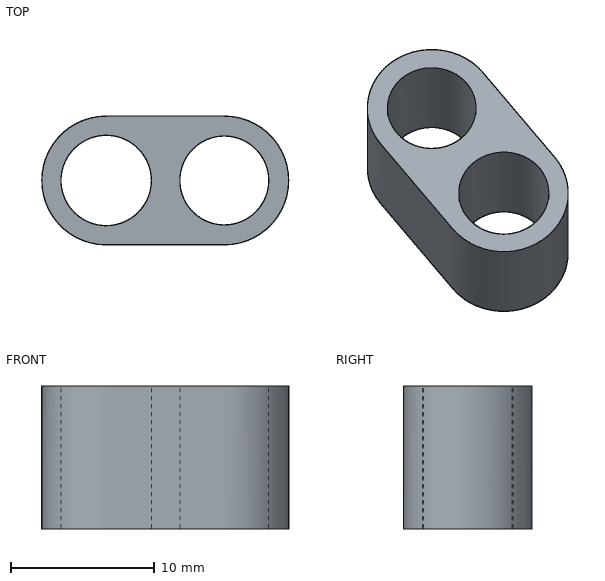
import cadquery as cq

length = 17.25
width = 9.0
height = 10.0

left_hole_diameter = 6.3
right_hole_diameter = 6.2
end_offset = (length - width) / 2


def through_hole(x, diameter):
    """Cylinder that cuts the full height of the block at the given X."""
    return cq.Workplane("XY").center(x, 0).circle(diameter / 2).extrude(height)


body = cq.Workplane("XY").slot2D(length, width).extrude(height)

result = (
    body
    .cut(through_hole(-end_offset, left_hole_diameter))
    .cut(through_hole(end_offset, right_hole_diameter))
)